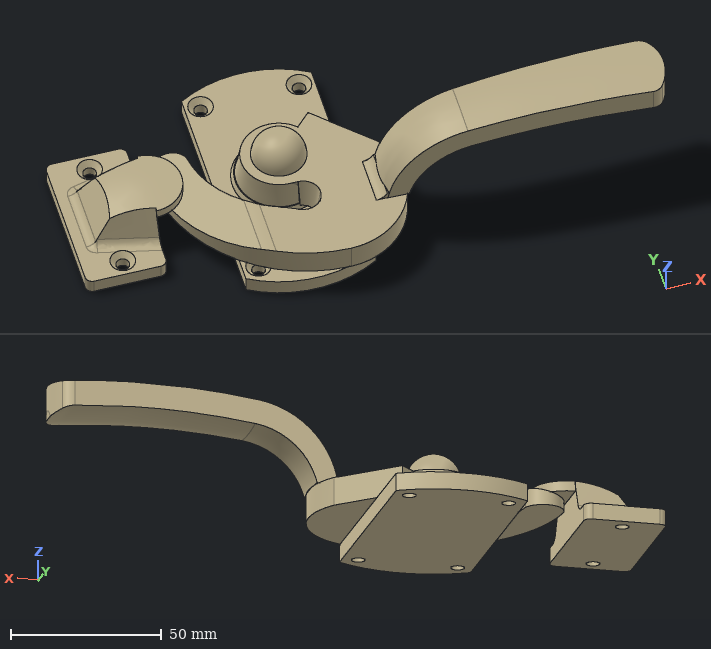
import cadquery as cq
import math


SCREW_DIAMETER = 4.5
SCREW_HEAD_DIAMETER = 8.5
SCREW_SINK_DEPTH = 2

BASE_RADIUS = 45
BASE_WIDTH = 45
BASE_THICKNESS = 6
BASE_HOLE_X = 17
BASE_HOLE_Y = 35

SPACER_BOTTOM_RADIUS = 16
SPACER_TOP_RADIUS = 15
SPACER_THICKNESS = 1.8

CAM_THICKNESS = 9.7
CAM_BOTTOM = BASE_THICKNESS + SPACER_THICKNESS
CAM_TOP = CAM_BOTTOM + CAM_THICKNESS
HUB_TOP_RADIUS = 13
HUB_BOTTOM_RADIUS = 14.7
BODY_CENTER = (12.2, -19.0)
BODY_RADIUS = 25.9
SHOULDER_RADIUS = 20
SHOULDER_ANGLE = 45
SHOULDER_END_ANGLE = 36
HOOK_TIP_CENTER = (-35.7, 7)
HOOK_TIP_RADIUS = 7
HOOK_INNER_START_ANGLE = 20
HOOK_INNER_MID = (-22.2, -8.6)
HOOK_INNER_END = (-11.9, -18.8)
SLOT_END_RADIUS = 6
SLOT_END_X = 3
SLOT_END_TAPER = 1.3
SLOT_WALL_SLOPE_ANGLE = 23.5
RAMP_START_X = -14.3
RAMP_TIP_HEIGHT = 3.3
RAMP_BLEND_RADIUS = 20

PIN_RADIUS = 9.4
PIN_HEAD_HEIGHT = 9.2

HANDLE_Y = -19.2
HANDLE_TOP = 48.59
HANDLE_END_X = 127.4
HANDLE_END_RADIUS = 16
HANDLE_END_WIDTH = 22.4
HANDLE_CORNER_RADIUS = 4.5
HANDLE_ROOT_X = 29
HANDLE_ROOT_WIDTH = 17
BEND_CENTER_X = 61.6
UPPER_APEX_X = 96
UPPER_GRIP_RADIUS = 280
UPPER_BEND_RADIUS = 33
UPPER_CROWN = 1.6
LOWER_APEX_X = 92
LOWER_APEX_Z = 37.6
LOWER_GRIP_RADIUS = 270
LOWER_BEND_RADIUS = 24.5
LOWER_CROWN = 1.1
CROWN_STOCK = 18
SWEEP_OVERRUN = 1
FOOT_FILLET_LENGTH = 3.2
FOOT_FILLET_HEIGHT = 2.4
FOOT_FILLET_OVERLAP = 0.6
FOOT_FILLET_HOLLOW = 0.8

KEEPER_LENGTH = 28
KEEPER_WIDTH = 51.5
KEEPER_THICKNESS = 5.5
KEEPER_CORNER_RADIUS = 2.5
KEEPER_RIGHT = -45.6
KEEPER_LEFT = KEEPER_RIGHT - KEEPER_LENGTH
KEEPER_CENTER_X = KEEPER_RIGHT - KEEPER_LENGTH / 2
KEEPER_HOLE_Y = 20
BLOCK_BOTTOM_LENGTH = 22
BLOCK_BOTTOM_LEFT_HALF_WIDTH = 11.6
BLOCK_BOTTOM_RIGHT_HALF_WIDTH = 16.8
BLOCK_TOP_LENGTH = 14.2
BLOCK_TOP_LEFT_HALF_WIDTH = 8.5
BLOCK_TOP_RIGHT_HALF_WIDTH = 11.5
BLOCK_TOP_LEFT_Z = 16.8
BLOCK_FOOT_FILLET = 4
LIP_RADIUS = 12
LIP_BOTTOM_Z = 14
DOME_TOP_Z = 19.5
DOME_RADIUS = 38


def polar(center, radius, angle):
    """Point at an angle in degrees on a circle."""
    turn = math.radians(angle)
    return (center[0] + radius * math.cos(turn), center[1] + radius * math.sin(turn))


def make_screw_holes(points, plate_top):
    """Countersunk through holes, with clearance above the plate for each screw head."""
    profile = (
        cq.Workplane("XZ")
        .lineTo(SCREW_DIAMETER / 2, 0)
        .lineTo(SCREW_DIAMETER / 2, plate_top - SCREW_SINK_DEPTH)
        .lineTo(SCREW_HEAD_DIAMETER / 2, plate_top)
        .lineTo(SCREW_HEAD_DIAMETER / 2, 2 * plate_top)
        .lineTo(0, 2 * plate_top)
        .close()
    )
    hole = profile.revolve(360, (0, 0), (0, 1)).val()
    holes = cq.Workplane("XY")
    for x, y in points:
        holes = holes.add(hole.translate(cq.Vector(x, y, 0)))
    return holes.combine()


def make_base():
    disc = cq.Workplane("XY").circle(BASE_RADIUS).extrude(BASE_THICKNESS)
    flats = cq.Workplane("XY").rect(BASE_WIDTH, 2 * BASE_RADIUS).extrude(BASE_THICKNESS)
    points = [(x, y) for x in (-BASE_HOLE_X, BASE_HOLE_X) for y in (-BASE_HOLE_Y, BASE_HOLE_Y)]
    return disc.intersect(flats).cut(make_screw_holes(points, BASE_THICKNESS))


def make_cone(bottom_radius, top_radius, bottom_z, height):
    """Upright frustum on the pivot axis."""
    cone = cq.Solid.makeCone(bottom_radius, top_radius, height, cq.Vector(0, 0, bottom_z))
    return cq.Workplane(obj=cone)


def make_cam_blank():
    """Flat cam outline: shoulder, round body, hook, slot and hub."""
    body_x, body_y = BODY_CENTER
    tip_x, tip_y = HOOK_TIP_CENTER
    body_bottom = body_y - BODY_RADIUS
    tip_rise = tip_y - body_bottom
    back_radius = ((body_x - tip_x) ** 2 + tip_rise ** 2 - HOOK_TIP_RADIUS ** 2) / (
        2 * (tip_rise - HOOK_TIP_RADIUS)
    )
    back_center = (body_x, body_bottom + back_radius)
    back_end_angle = math.degrees(math.atan2(tip_y - back_center[1], tip_x - back_center[0])) % 360
    back_mid_angle = (270 + back_end_angle) / 2

    slot_center = (SLOT_END_X, -HUB_TOP_RADIUS - SLOT_END_RADIUS)
    slot_wall_angle = -90 - SLOT_WALL_SLOPE_ANGLE
    tip_mid_angle = (HOOK_INNER_START_ANGLE + back_end_angle) / 2

    return (
        cq.Workplane("XY", origin=(0, 0, CAM_BOTTOM))
        .moveTo(*polar((0, 0), HUB_TOP_RADIUS, SHOULDER_ANGLE))
        .lineTo(*polar((0, 0), SHOULDER_RADIUS, SHOULDER_ANGLE))
        .lineTo(*polar(BODY_CENTER, BODY_RADIUS, SHOULDER_END_ANGLE))
        .threePointArc(
            polar(BODY_CENTER, BODY_RADIUS, (SHOULDER_END_ANGLE - 90) / 2),
            (body_x, body_bottom),
        )
        .threePointArc(
            polar(back_center, back_radius, back_mid_angle),
            polar(HOOK_TIP_CENTER, HOOK_TIP_RADIUS, back_end_angle),
        )
        .threePointArc(
            polar(HOOK_TIP_CENTER, HOOK_TIP_RADIUS, tip_mid_angle),
            polar(HOOK_TIP_CENTER, HOOK_TIP_RADIUS, HOOK_INNER_START_ANGLE),
        )
        .threePointArc(HOOK_INNER_MID, HOOK_INNER_END)
        .lineTo(*polar(slot_center, SLOT_END_RADIUS, slot_wall_angle))
        .threePointArc(
            polar(slot_center, SLOT_END_RADIUS, 0),
            (SLOT_END_X, -HUB_TOP_RADIUS),
        )
        .lineTo(0, -HUB_TOP_RADIUS)
        .threePointArc((-HUB_TOP_RADIUS, 0), polar((0, 0), HUB_TOP_RADIUS, SHOULDER_ANGLE))
        .close()
        .extrude(CAM_THICKNESS)
    )


def make_slot_end_taper():
    """Fill that slopes the closed end of the slot inward toward the underside."""
    top_center = (SLOT_END_X, -HUB_TOP_RADIUS - SLOT_END_RADIUS)
    bottom_center = polar(top_center, SLOT_END_TAPER, -90 - SLOT_WALL_SLOPE_ANGLE)
    opening = (
        cq.Workplane("XY", origin=(0, 0, CAM_BOTTOM))
        .center(*bottom_center)
        .circle(SLOT_END_RADIUS - SLOT_END_TAPER)
        .workplane(offset=CAM_THICKNESS)
        .center(top_center[0] - bottom_center[0], top_center[1] - bottom_center[1])
        .circle(SLOT_END_RADIUS)
        .loft()
    )
    return (
        cq.Workplane("XY", origin=(*top_center, CAM_BOTTOM))
        .moveTo(0, SLOT_END_RADIUS)
        .threePointArc((SLOT_END_RADIUS, 0), (0, -SLOT_END_RADIUS))
        .close()
        .extrude(CAM_THICKNESS)
        .cut(opening)
    )


def make_ramp_cut():
    """Volume above the hook's sloping top, blended into the flat top by a large radius."""
    tip_left = HOOK_TIP_CENTER[0] - HOOK_TIP_RADIUS
    slope = math.atan2(CAM_THICKNESS - RAMP_TIP_HEIGHT, RAMP_START_X - tip_left)
    tangent_length = RAMP_BLEND_RADIUS * math.tan(slope / 2)
    flat_end_x = RAMP_START_X + tangent_length
    blend_center = (flat_end_x, CAM_TOP - RAMP_BLEND_RADIUS)
    slope_degrees = math.degrees(slope)
    return (
        cq.Workplane("XZ")
        .moveTo(flat_end_x, CAM_TOP)
        .threePointArc(
            polar(blend_center, RAMP_BLEND_RADIUS, 90 + slope_degrees / 2),
            polar(blend_center, RAMP_BLEND_RADIUS, 90 + slope_degrees),
        )
        .lineTo(tip_left, CAM_BOTTOM + RAMP_TIP_HEIGHT)
        .lineTo(tip_left, CAM_TOP)
        .close()
        .extrude(BASE_RADIUS, both=True)
    )


def make_cam():
    hub = make_cone(HUB_BOTTOM_RADIUS, HUB_TOP_RADIUS, CAM_BOTTOM, CAM_THICKNESS)
    pin_hole = cq.Workplane("XY", origin=(0, 0, CAM_BOTTOM)).circle(PIN_RADIUS).extrude(CAM_THICKNESS)
    blank = make_cam_blank().cut(make_ramp_cut())
    return blank.union(hub).union(make_slot_end_taper()).cut(pin_hole)


def make_pin():
    """Shank filling the cam bore, with a spherical-cap head of the same radius."""
    head_top = CAM_TOP + PIN_HEAD_HEIGHT
    cap_radius = (PIN_RADIUS ** 2 + PIN_HEAD_HEIGHT ** 2) / (2 * PIN_HEAD_HEIGHT)
    cap_center = (0, head_top - cap_radius)
    return (
        cq.Workplane("XZ")
        .moveTo(0, CAM_BOTTOM)
        .lineTo(PIN_RADIUS, CAM_BOTTOM)
        .lineTo(PIN_RADIUS, CAM_TOP)
        .threePointArc(polar(cap_center, cap_radius, 45), (0, head_top))
        .close()
        .revolve(360, (0, 0), (0, 1))
    )


def make_crowned_sweep(apex, grip_radius, bend_radius, crown, side):
    """Sweep a crowned section along the grip arc and the tangent bend arc of one handle face.

    side is 1 for the upper face (material below it) and -1 for the lower face (material above it).
    """
    grip_center = (apex[0], apex[1] - grip_radius)
    center_distance = grip_radius - bend_radius
    joint_angle = 90 + math.degrees(math.asin((apex[0] - BEND_CENTER_X) / center_distance))
    bend_center = polar(grip_center, center_distance, joint_angle)
    joint = polar(bend_center, bend_radius, joint_angle)
    start = (bend_center[0] - bend_radius, bend_center[1])
    past_end_angle = math.degrees(math.acos((HANDLE_END_X + SWEEP_OVERRUN - apex[0]) / grip_radius))
    path = (
        cq.Workplane("XZ", origin=(0, HANDLE_Y, 0))
        .moveTo(*start)
        .threePointArc(polar(bend_center, bend_radius, (180 + joint_angle) / 2), joint)
        .threePointArc(
            polar(grip_center, grip_radius, (joint_angle + past_end_angle) / 2),
            polar(grip_center, grip_radius, past_end_angle),
        )
    )
    half_width = HANDLE_END_WIDTH / 2
    section = (
        cq.Workplane("XY", origin=(start[0], HANDLE_Y, start[1]))
        .moveTo(side * crown, -half_width)
        .threePointArc((0, 0), (side * crown, half_width))
        .lineTo(side * CROWN_STOCK, half_width)
        .lineTo(side * CROWN_STOCK, -half_width)
        .close()
    )
    return section.sweep(path)


def make_handle_plan():
    """Plan outline of the handle, widening from the root to a rounded end."""
    root_half = HANDLE_ROOT_WIDTH / 2
    end_half = HANDLE_END_WIDTH / 2
    end_bulge = HANDLE_END_RADIUS - math.sqrt(HANDLE_END_RADIUS ** 2 - end_half ** 2)
    shoulder_x = HANDLE_END_X - end_bulge
    root_x = HANDLE_ROOT_X - FOOT_FILLET_LENGTH
    return (
        cq.Workplane("XY", origin=(0, HANDLE_Y, CAM_TOP))
        .moveTo(root_x, -root_half)
        .lineTo(shoulder_x, -end_half)
        .threePointArc((HANDLE_END_X, 0), (shoulder_x, end_half))
        .lineTo(root_x, root_half)
        .close()
        .extrude(HANDLE_TOP)
        .edges("|Z and >>X[-2]")
        .fillet(HANDLE_CORNER_RADIUS)
    )


def make_handle_foot():
    """Concave flare where the outer side of the handle meets the cam."""
    toe_x = HANDLE_ROOT_X - FOOT_FILLET_LENGTH
    hollow = (HANDLE_ROOT_X - FOOT_FILLET_HOLLOW, CAM_TOP + FOOT_FILLET_HOLLOW)
    tangent = (HANDLE_ROOT_X + FOOT_FILLET_OVERLAP, CAM_TOP + FOOT_FILLET_HEIGHT)
    return (
        cq.Workplane("XZ", origin=(0, HANDLE_Y, 0))
        .moveTo(toe_x, CAM_TOP)
        .threePointArc(hollow, tangent)
        .lineTo(tangent[0] + UPPER_CROWN, tangent[1])
        .lineTo(tangent[0] + UPPER_CROWN, CAM_TOP)
        .close()
        .extrude(HANDLE_ROOT_WIDTH / 2, both=True)
    )


def make_handle():
    upper = make_crowned_sweep(
        (UPPER_APEX_X, HANDLE_TOP), UPPER_GRIP_RADIUS, UPPER_BEND_RADIUS, UPPER_CROWN, 1
    )
    lower = make_crowned_sweep(
        (LOWER_APEX_X, LOWER_APEX_Z), LOWER_GRIP_RADIUS, LOWER_BEND_RADIUS, LOWER_CROWN, -1
    )
    return upper.intersect(lower).intersect(make_handle_plan()).union(make_handle_foot())


def block_outline(plane, length, left_half_width, right_half_width):
    """Trapezoid that ends flush with the keeper's cam-side edge."""
    left = KEEPER_RIGHT - length
    return plane.polyline(
        [
            (left, -left_half_width),
            (KEEPER_RIGHT, -right_half_width),
            (KEEPER_RIGHT, right_half_width),
            (left, left_half_width),
        ]
    ).close()


def make_keeper():
    plate = (
        cq.Workplane("XY")
        .center(KEEPER_CENTER_X, 0)
        .rect(KEEPER_LENGTH, KEEPER_WIDTH)
        .extrude(KEEPER_THICKNESS)
        .edges("|Z")
        .fillet(KEEPER_CORNER_RADIUS)
    )

    height = BLOCK_TOP_LEFT_Z - KEEPER_THICKNESS
    stretch = (DOME_TOP_Z - KEEPER_THICKNESS) / height

    def stretched(bottom, top):
        return bottom + (top - bottom) * stretch

    block = block_outline(
        cq.Workplane("XY", origin=(0, 0, KEEPER_THICKNESS)),
        BLOCK_BOTTOM_LENGTH,
        BLOCK_BOTTOM_LEFT_HALF_WIDTH,
        BLOCK_BOTTOM_RIGHT_HALF_WIDTH,
    )
    block = block_outline(
        block.workplane(offset=height * stretch),
        stretched(BLOCK_BOTTOM_LENGTH, BLOCK_TOP_LENGTH),
        stretched(BLOCK_BOTTOM_LEFT_HALF_WIDTH, BLOCK_TOP_LEFT_HALF_WIDTH),
        stretched(BLOCK_BOTTOM_RIGHT_HALF_WIDTH, BLOCK_TOP_RIGHT_HALF_WIDTH),
    ).loft(ruled=True)
    lip = (
        cq.Workplane("XY", origin=(KEEPER_RIGHT, 0, LIP_BOTTOM_Z))
        .moveTo(0, -LIP_RADIUS)
        .threePointArc((LIP_RADIUS, 0), (0, LIP_RADIUS))
        .close()
        .extrude(DOME_TOP_Z - LIP_BOTTOM_Z)
    )
    dome = cq.Workplane("XY", origin=(KEEPER_RIGHT, 0, DOME_TOP_Z - DOME_RADIUS)).sphere(DOME_RADIUS)
    keeper = plate.union(block)
    foot = cq.selectors.BoxSelector(
        (KEEPER_LEFT + KEEPER_CORNER_RADIUS, -LIP_RADIUS - BLOCK_FOOT_FILLET, KEEPER_THICKNESS / 2),
        (KEEPER_RIGHT, LIP_RADIUS + BLOCK_FOOT_FILLET, KEEPER_THICKNESS * 3 / 2),
    )
    keeper = keeper.edges(foot).fillet(BLOCK_FOOT_FILLET)
    keeper = keeper.union(lip).intersect(dome.union(plate))
    hole_points = [(KEEPER_CENTER_X, y) for y in (-KEEPER_HOLE_Y, KEEPER_HOLE_Y)]
    return keeper.cut(make_screw_holes(hole_points, KEEPER_THICKNESS))


base = make_base()
spacer = make_cone(SPACER_BOTTOM_RADIUS, SPACER_TOP_RADIUS, BASE_THICKNESS, SPACER_THICKNESS)
cam = make_cam()
pin = make_pin()
handle = make_handle()
keeper = make_keeper()

bodies = [base, spacer, cam, pin, handle, keeper]
result = cq.Compound.makeCompound([body.solids().val() for body in bodies])